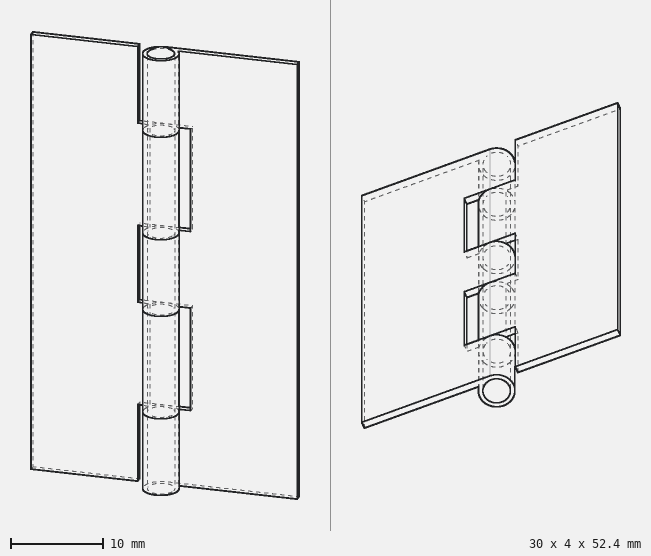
import cadquery as cq

overall_height = 52.4
hinge_width = 30.0
barrel_diameter = 4.0
leaf_thickness = 0.8
pin_diameter = 3.0
pin_head_rise = 0.65
end_knuckle_length = 9.0
slot_clearance = 1.0

barrel_radius = barrel_diameter / 2
pin_radius = pin_diameter / 2
leaf_height = overall_height - 2 * pin_head_rise
half_height = leaf_height / 2
right_length = end_knuckle_length
left_length = (leaf_height - 3 * right_length) / 2
pitch = right_length + left_length
right_starts = [-half_height + i * pitch for i in range(3)]
left_starts = [-half_height + right_length + i * pitch for i in range(2)]
slot_edge = barrel_radius + slot_clearance
plate_width = hinge_width / 2 - slot_edge


def make_plate(x_start, width, z_start, height):
    """Flat sheet whose back face is tangent to the back of the barrel."""
    return cq.Workplane("XY").box(width, leaf_thickness, height, centered=False).translate(
        (x_start, barrel_radius - leaf_thickness, z_start)
    )


def make_leaf(side, knuckle_starts, knuckle_length):
    """Leaf on the +X (side = 1) or -X (side = -1) side, with its bored knuckles."""
    plate_start = slot_edge if side > 0 else -hinge_width / 2
    tab_start = 0 if side > 0 else -slot_edge
    leaf = make_plate(plate_start, plate_width, -half_height, leaf_height)
    for z_start in knuckle_starts:
        tab = make_plate(tab_start, slot_edge, z_start, knuckle_length)
        knuckle = (
            cq.Workplane("XY").workplane(offset=z_start).circle(barrel_radius).extrude(knuckle_length)
        )
        leaf = leaf.union(tab).union(knuckle)
    bore = cq.Workplane("XY").circle(pin_radius).extrude(half_height, both=True)
    return leaf.cut(bore)


def make_pin():
    """Pin that fills the bore and ends in a shallow dome above and below."""
    dome_radius = (pin_radius**2 + pin_head_rise**2) / (2 * pin_head_rise)
    mid_x = pin_radius / 2
    mid_z = overall_height / 2 - dome_radius + (dome_radius**2 - mid_x**2) ** 0.5
    return (
        cq.Workplane("XZ")
        .moveTo(0, -overall_height / 2)
        .threePointArc((mid_x, -mid_z), (pin_radius, -half_height))
        .lineTo(pin_radius, half_height)
        .threePointArc((mid_x, mid_z), (0, overall_height / 2))
        .close()
        .revolve(360, (0, 0, 0), (0, 1, 0))
    )


right_leaf = make_leaf(1, right_starts, right_length)
left_leaf = make_leaf(-1, left_starts, left_length)
pin = make_pin()

result = cq.Compound.makeCompound([right_leaf.val(), left_leaf.val(), pin.val()])